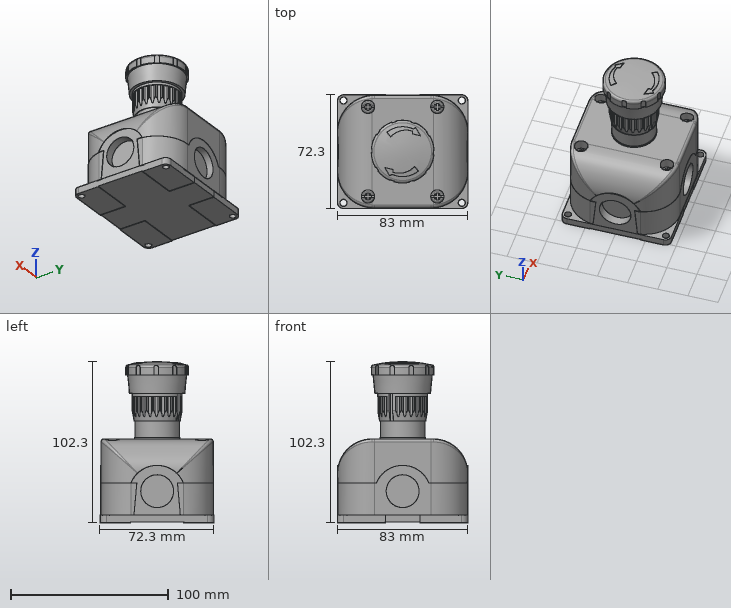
import cadquery as cq
import math

PLATE_X = 83.0
PLATE_Y = 72.3
PLATE_Z = 4.8
PLATE_CORNER = 4.1
MOUNT_HOLE_DIA = 4.3
MOUNT_PITCH_X = 75.1
MOUNT_PITCH_Y = 65.0
CHANNEL_DEPTH = 0.4
CHANNEL_WIDTH_X = 21.9
CHANNEL_WIDTH_Y = 33.8
EDGE_RELIEF = 0.1

BOX_X = 82.9
BOX_Y = 71.6
BOX_CORNER = 23.4
SEAM_Z = 25.3
COVER_TOP = 53.2
COVER_ROUND = 21.9
COVER_EDGE = 1.9
COVER_INSET = 0.1

ENTRY_Z = 20.1
ENTRY_RADIUS = 10.4
ENTRY_DEPTH_X = 6.0
ENTRY_DEPTH_Y = 4.6
ARCH_Z = 18.4
ARCH_RADIUS = 18.0
ARCH_THICKNESS = 3.1
SIDE_RELIEF = 0.4
RELIEF_HALF_WIDTH = 17.3
PAD_HALF_WIDTH_LOW = 14.7
PAD_HALF_WIDTH_HIGH = 12.9

SCREW_PITCH_X = 44.0
SCREW_PITCH_Y = 56.9
WELL_RADIUS = 4.2
WELL_FLOOR_Z = 44.0
HEAD_HEIGHT = 3.1
HEAD_EDGE = 0.9
SHANK_RADIUS = 1.8
SHANK_LENGTH = 25.6
SLOT_WIDTH = 1.0
SLOT_DEPTH = 0.6
CROSS_LENGTH = 4.5
CROSS_WIDTH = 1.3
CROSS_DEPTH = 1.6
STAR_WIDTH = 0.6
STAR_DEPTH = 0.8

FLANGE_RADIUS = 14.4
FLANGE_TOP = 54.2
NECK_RADIUS = 14.2
COLLAR_BOTTOM = 64.5
COLLAR_LOW_RADIUS = 14.6
COLLAR_CONE_TOP = 71.2
COLLAR_RADIUS = 15.9
SKIRT_BOTTOM = 82.1
SKIRT_LOW_RADIUS = 17.7
SKIRT_TOP_RADIUS = 18.8
RIM_BOTTOM = 93.9
RIM_RADIUS = 20.0
RIM_SHOULDER = 98.4
DOME_EDGE_Z = 100.3
DOME_EDGE_RADIUS = 18.3
DOME_TOP = 102.3

CUT_MARGIN = 1.0

FLUTE_COUNT = 22
FLUTE_PITCH_ANGLE = 15.5
FLUTE_START_ANGLE = 259.5
FLUTE_DEPTH = 0.7
FLUTE_HALF_WIDTH = 1.8
FLUTE_CORE_HALF_WIDTH = 0.9
FLUTE_CORE_DEPTH = 0.3
FLUTE_TOP = 80.2
KEYWAY_ANGLE = 241.6
KEYWAY_WIDTH = 2.5

NOTCH_COUNT = 10
NOTCH_START_ANGLE = 250.2
NOTCH_WIDTH = 3.1
NOTCH_DEPTH = 0.5
NOTCH_TOP = 100.0

ARROW_HEIGHT = 0.3
ARROW_OUTER_RADIUS = 15.9
ARROW_TAIL_RADIUS = 12.1
ARROW_NECK_RADIUS = 14.4
ARROW_BARB_INNER_RADIUS = 12.9
ARROW_BARB_OUTER_RADIUS = 17.4
ARROW_TIP_RADIUS = 15.1
ARROW_TAIL_ANGLE = 129.0
ARROW_NECK_ANGLE = 65.0
ARROW_BARB_ANGLE = 61.5
ARROW_TIP_ANGLE = 41.7


def polar(radius, angle):
    """Point at a radius and an angle in degrees."""
    return (radius * math.cos(math.radians(angle)), radius * math.sin(math.radians(angle)))


def block(size_x, size_y, z_low, z_high):
    """Box centred on the Z axis between two heights."""
    return cq.Workplane("XY").workplane(offset=z_low).rect(size_x, size_y).extrude(z_high - z_low)


def make_plate():
    plate = block(PLATE_X, PLATE_Y, 0, PLATE_Z).edges("|Z").fillet(PLATE_CORNER)
    plate = plate.faces(">Z").workplane(origin=(0, 0, 0))
    plate = plate.rect(MOUNT_PITCH_X, MOUNT_PITCH_Y, forConstruction=True).vertices().hole(MOUNT_HOLE_DIA)
    plate = plate.cut(block(CHANNEL_WIDTH_X, PLATE_Y, 0, CHANNEL_DEPTH))
    plate = plate.cut(block(PLATE_X, CHANNEL_WIDTH_Y, 0, CHANNEL_DEPTH))
    middle = block(CHANNEL_WIDTH_X, PLATE_Y, 0, PLATE_Z)
    return plate.cut(middle.cut(block(CHANNEL_WIDTH_X, PLATE_Y - 2 * EDGE_RELIEF, 0, PLATE_Z)))


def make_lower_box():
    box = block(BOX_X, BOX_Y, PLATE_Z, SEAM_Z).edges("|Z").fillet(BOX_CORNER)
    pad_outline = [
        (-PAD_HALF_WIDTH_LOW, PLATE_Z),
        (PAD_HALF_WIDTH_LOW, PLATE_Z),
        (PAD_HALF_WIDTH_HIGH, SEAM_Z),
        (-PAD_HALF_WIDTH_HIGH, SEAM_Z),
    ]
    pads = cq.Workplane("YZ").polyline(pad_outline).close().extrude(BOX_X / 2, both=True)
    relief = block(BOX_X, 2 * RELIEF_HALF_WIDTH, PLATE_Z, SEAM_Z)
    relief = relief.cut(block(BOX_X - 2 * SIDE_RELIEF, BOX_Y, PLATE_Z, SEAM_Z))
    return box.cut(relief).union(pads)


def make_cover():
    size_x = BOX_X - 2 * COVER_INSET
    size_y = BOX_Y - 2 * COVER_INSET
    outline = block(size_x, size_y, SEAM_Z, COVER_TOP).edges("|Z").fillet(BOX_CORNER - COVER_INSET)
    barrel = block(size_x, BOX_Y, SEAM_Z, COVER_TOP).edges("|Y and >Z").fillet(COVER_ROUND)
    cover = outline.intersect(barrel)
    return cover.faces(">Z").edges("|X").fillet(COVER_EDGE)


def make_arches():
    """Arched bosses that frame the entries above the seam on all four sides."""
    above_seam = block(BOX_X, BOX_Y, SEAM_Z, COVER_TOP)
    along_x = cq.Workplane("YZ").center(0, ARCH_Z).circle(ARCH_RADIUS).extrude(BOX_X / 2, both=True)
    along_y = cq.Workplane("XZ").center(0, ARCH_Z).circle(ARCH_RADIUS).extrude(BOX_Y / 2, both=True)
    core = block(BOX_X - 2 * ARCH_THICKNESS, BOX_Y - 2 * ARCH_THICKNESS, SEAM_Z, COVER_TOP)
    return along_x.union(along_y).intersect(above_seam).cut(core)


def make_entries():
    """Blind round recesses in the four sides."""
    along_x = cq.Workplane("YZ").center(0, ENTRY_Z).circle(ENTRY_RADIUS).extrude(BOX_X / 2, both=True)
    along_y = cq.Workplane("XZ").center(0, ENTRY_Z).circle(ENTRY_RADIUS).extrude(BOX_Y / 2, both=True)
    core = block(BOX_X - 2 * ENTRY_DEPTH_X, BOX_Y - 2 * ENTRY_DEPTH_Y, 0, COVER_TOP)
    return along_x.union(along_y).cut(core)


def make_button_body():
    quarter = math.sqrt(0.5)
    shoulder_x = DOME_EDGE_RADIUS + (RIM_RADIUS - DOME_EDGE_RADIUS) * quarter
    shoulder_z = RIM_SHOULDER + (DOME_EDGE_Z - RIM_SHOULDER) * quarter
    dome_rise = DOME_TOP - DOME_EDGE_Z
    dome_radius = (DOME_EDGE_RADIUS**2 + dome_rise**2) / (2 * dome_rise)
    dome_mid_x = DOME_EDGE_RADIUS / 2
    dome_mid_z = DOME_TOP - dome_radius + math.sqrt(dome_radius**2 - dome_mid_x**2)
    return (
        cq.Workplane("XZ")
        .moveTo(0, COVER_TOP)
        .lineTo(FLANGE_RADIUS, COVER_TOP)
        .lineTo(FLANGE_RADIUS, FLANGE_TOP)
        .lineTo(NECK_RADIUS, FLANGE_TOP)
        .lineTo(NECK_RADIUS, COLLAR_BOTTOM)
        .lineTo(COLLAR_LOW_RADIUS, COLLAR_BOTTOM)
        .lineTo(COLLAR_RADIUS, COLLAR_CONE_TOP)
        .lineTo(COLLAR_RADIUS, SKIRT_BOTTOM)
        .lineTo(SKIRT_LOW_RADIUS, SKIRT_BOTTOM)
        .lineTo(SKIRT_TOP_RADIUS, RIM_BOTTOM)
        .lineTo(RIM_RADIUS, RIM_BOTTOM)
        .lineTo(RIM_RADIUS, RIM_SHOULDER)
        .threePointArc((shoulder_x, shoulder_z), (DOME_EDGE_RADIUS, DOME_EDGE_Z))
        .threePointArc((dome_mid_x, dome_mid_z), (0, DOME_TOP))
        .close()
        .revolve(360, (0, 0, 0), (0, 1, 0))
    )


def make_flutes():
    """Flutes around the collar: a round core with flared sides, with a wider gap left for the keyway."""
    bottom = COLLAR_RADIUS - FLUTE_DEPTH
    core = COLLAR_RADIUS - FLUTE_CORE_DEPTH
    outside = COLLAR_RADIUS + CUT_MARGIN
    flute = (
        cq.Workplane("XY")
        .workplane(offset=COLLAR_BOTTOM)
        .moveTo(outside, -FLUTE_HALF_WIDTH)
        .lineTo(math.sqrt(COLLAR_RADIUS**2 - FLUTE_HALF_WIDTH**2), -FLUTE_HALF_WIDTH)
        .lineTo(core, -FLUTE_CORE_HALF_WIDTH)
        .threePointArc((bottom, 0), (core, FLUTE_CORE_HALF_WIDTH))
        .lineTo(math.sqrt(COLLAR_RADIUS**2 - FLUTE_HALF_WIDTH**2), FLUTE_HALF_WIDTH)
        .lineTo(outside, FLUTE_HALF_WIDTH)
        .close()
        .extrude(FLUTE_TOP - COLLAR_BOTTOM)
    )
    angles = [FLUTE_START_ANGLE + FLUTE_PITCH_ANGLE * i for i in range(FLUTE_COUNT)]
    return [flute.rotate((0, 0, 0), (0, 0, 1), angle) for angle in angles]


def make_keyway():
    """Flat-bottomed slot along the whole collar, as deep as the neck below it."""
    slot = block(COLLAR_RADIUS, KEYWAY_WIDTH, COLLAR_BOTTOM, SKIRT_BOTTOM)
    slot = slot.translate((NECK_RADIUS + COLLAR_RADIUS / 2, 0, 0))
    return slot.rotate((0, 0, 0), (0, 0, 1), KEYWAY_ANGLE)


def make_notches():
    """Round-topped grip notches around the rim."""
    radius = NOTCH_WIDTH / 2
    notch = (
        cq.Workplane("YZ")
        .workplane(offset=RIM_RADIUS - NOTCH_DEPTH)
        .moveTo(-radius, RIM_BOTTOM)
        .lineTo(radius, RIM_BOTTOM)
        .lineTo(radius, NOTCH_TOP - radius)
        .threePointArc((0, NOTCH_TOP), (-radius, NOTCH_TOP - radius))
        .close()
        .extrude(NOTCH_DEPTH + CUT_MARGIN)
    )
    pitch = 360 / NOTCH_COUNT
    angles = [NOTCH_START_ANGLE + pitch * i for i in range(NOTCH_COUNT)]
    return [notch.rotate((0, 0, 0), (0, 0, 1), angle) for angle in angles]


def make_arrow():
    """Curved arrow that stands a little above the dome."""
    mid_angle = (ARROW_TAIL_ANGLE + ARROW_NECK_ANGLE) / 2
    inner_mid_radius = (ARROW_TAIL_RADIUS + ARROW_NECK_RADIUS) / 2
    prism = (
        cq.Workplane("XY")
        .workplane(offset=RIM_SHOULDER)
        .moveTo(*polar(ARROW_OUTER_RADIUS, ARROW_TAIL_ANGLE))
        .threePointArc(polar(ARROW_OUTER_RADIUS, mid_angle), polar(ARROW_OUTER_RADIUS, ARROW_NECK_ANGLE))
        .lineTo(*polar(ARROW_BARB_OUTER_RADIUS, ARROW_BARB_ANGLE))
        .lineTo(*polar(ARROW_TIP_RADIUS, ARROW_TIP_ANGLE))
        .lineTo(*polar(ARROW_BARB_INNER_RADIUS, ARROW_BARB_ANGLE))
        .lineTo(*polar(ARROW_NECK_RADIUS, ARROW_NECK_ANGLE))
        .threePointArc(polar(inner_mid_radius, mid_angle), polar(ARROW_TAIL_RADIUS, ARROW_TAIL_ANGLE))
        .close()
        .extrude(DOME_TOP - RIM_SHOULDER)
    )
    return prism.intersect(make_button_body().translate((0, 0, ARROW_HEIGHT)))


def make_button():
    button = make_button_body()
    for groove in [*make_flutes(), make_keyway(), *make_notches()]:
        button = button.cut(groove)
    arrow = make_arrow()
    return button.union(arrow).union(arrow.rotate((0, 0, 0), (0, 0, 1), 180))


def make_screw():
    head = cq.Workplane("XY").circle(WELL_RADIUS).extrude(HEAD_HEIGHT).faces(">Z").edges().fillet(HEAD_EDGE)
    slot = block(2 * WELL_RADIUS, SLOT_WIDTH, HEAD_HEIGHT - SLOT_DEPTH, HEAD_HEIGHT)
    cross_arm = block(CROSS_LENGTH, CROSS_WIDTH, HEAD_HEIGHT - CROSS_DEPTH, HEAD_HEIGHT)
    star_arm = block(CROSS_LENGTH, STAR_WIDTH, HEAD_HEIGHT - STAR_DEPTH, HEAD_HEIGHT)
    head = head.cut(slot)
    for arm, angle in ((cross_arm, 0), (cross_arm, 90), (star_arm, 45), (star_arm, 135)):
        head = head.cut(arm.rotate((0, 0, 0), (0, 0, 1), angle))
    shank = cq.Workplane("XY").circle(SHANK_RADIUS).extrude(-SHANK_LENGTH)
    return head.union(shank).translate((0, 0, WELL_FLOOR_Z))


def make_screw_space():
    """Well for the head with a hole for the shank below it."""
    well = cq.Workplane("XY").circle(WELL_RADIUS).extrude(COVER_TOP - WELL_FLOOR_Z)
    hole = cq.Workplane("XY").circle(SHANK_RADIUS).extrude(-SHANK_LENGTH)
    return well.union(hole).translate((0, 0, WELL_FLOOR_Z))


screw_places = [(x * SCREW_PITCH_X / 2, y * SCREW_PITCH_Y / 2, 0) for x in (-1, 1) for y in (-1, 1)]

station = make_plate().union(make_lower_box()).union(make_cover()).union(make_arches())
station = station.cut(make_entries()).union(make_button())
for place in screw_places:
    station = station.cut(make_screw_space().translate(place))

screws = [make_screw().translate(place).solids().val() for place in screw_places]

result = cq.Compound.makeCompound([station.solids().val(), *screws])